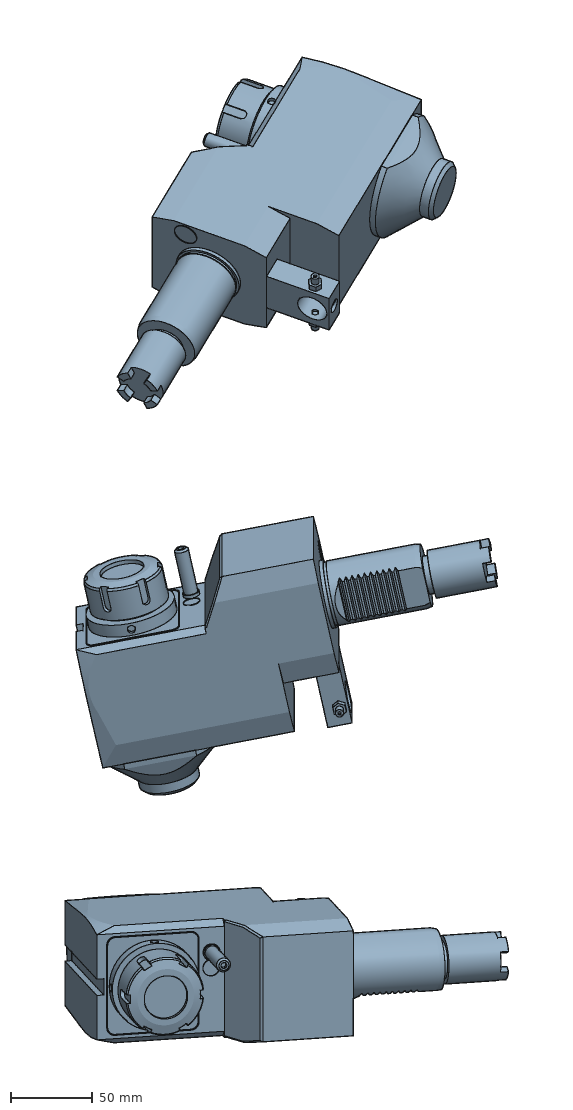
import cadquery as cq
import math

EPS = 0.3
WIDE = 521.7

total_length = 260.8
half_height = 37.5
lower_half_width = 38.9
upper_left = -9.0
upper_right = 72.0
rear = 155.7
step_y = 35.0
slope_start_y = 58.7
slope_end_y = 74.5
slope_edge_chamfer = 1.0
bevel_width = 14.9
bevel_drop = 4.0
tool_bevel_width = 4.2
edge_z = half_height - bevel_drop
crown_z = 36.8
crown_x = 14.3
crown_end_x = 34.0
crown_end_z = 36.3
crown_taper = 14.0
rear_slot_width = 10.5
rear_slot_depth = 4.5
dimple_depth = 0.5

spindle_y = 120.0

panel_length = 58.7
panel_height = 63.0
panel_corner = 5.2
panel_groove = 0.5
flange_radius = 28.0
flange_front = -17.2
neck_radius = 21.7
nut_radius = 24.8
nut_back = -19.0
nut_rim = -40.5
nut_rim_chamfer_length = 1.5
nut_front = -42.0
nut_rim_chamfer = 0.8
nut_face_radius = 18.0
nut_bore_radius = 13.8
nut_bore_depth = 2.5
wrench_slot_count = 6
wrench_slot_width = 5.5
wrench_slot_depth = 2.5
wrench_slot_end = -24.8
flange_hole_count = 4
flange_hole_radius = 2.48
flange_hole_depth = 2.5

pin_y = 83.0
pin_z = 17.7
pin_radius = 4.5
pin_tip = -41.2
pin_chamfer = 1.3
pin_bore_radius = 1.8
pin_bore_depth = 2.5
pin_collar_radius = 5.2
pin_collar_length = 2.0
plug_z = 7.5
plug_radius = 5.2

nose_rim = 4.0
nose_base_radius = 40.0
nose_tip_radius = 19.0
nose_cone_end = 96.3
nose_end = 104.5
nose_chamfer = 2.3
nose_flat_z = 32.9
nose_flat_angle = 14.0
nose_rear_cut = 31.5

collar_radius = 21.5
collar_length = 2.3
relief_radius = 19.8
relief_end = 4.2
shank_radius = 20.3
shank_length = 63.0
shank_chamfer_length = 3.5
shank_chamfer_radius = 19.5
waist_radius = 12.0
waist_length = 3.7
coupling_radius = 15.0
coupling_face = 100.0
coupling_end = total_length - rear
claw_inner_radius = 10.2
claw_count = 4
claw_span = 39.0
rack_z = -15.7
rack_ramp_start = 6.0
rack_groove_count = 10
rack_groove_first = 11.5
rack_pitch = 4.0
rack_groove_depth = 1.8
rack_groove_half_width = 1.3

dimple_x = -16.2
dimple_z = 28.0
dimple_radius = 7.5

arm_end = 81.5
arm_front = 0.5
arm_back = 16.0
arm_half_height = 15.0
arm_bore_x = 70.0
arm_bore_radius = 10.0
arm_end_hole_radius = 4.5
screw_x = 69.5
screw_y = 6.0
screw_radius = 2.48
screw_top = 24.8
screw_key_radius = 1.0
screw_socket_radius = 2.0
screw_socket_depth = 1.5
lock_nut_across_corners = 8.9
lock_nut_height = 4.2


def x_cylinder(radius, x_start, x_end, y, z=0.0):
    """Cylinder along X between two X places."""
    plane = cq.Workplane("YZ", origin=(x_start, y, z))
    return plane.circle(radius).extrude(x_end - x_start)


def turned_on_spindle(profile):
    """Revolve (x, radius) points about the spindle axis."""
    points = [(x, spindle_y + radius) for x, radius in profile]
    outline = cq.Workplane("XY").polyline(points).close()
    return outline.revolve(360, (0, spindle_y, 0), (1, spindle_y, 0))


def along_y(points, y_start, y_end):
    """Prism along Y from an outline of (x, z) points."""
    outline = cq.Workplane("XZ", origin=(0, y_start, 0)).polyline(points).close()
    return outline.extrude(y_start - y_end)


def edge_bevel(x_edge, width_inward, y_start, y_end):
    """Wedges that bevel the upper and lower edges of a side face at x_edge."""
    wedge = along_y(
        [
            (x_edge + width_inward, half_height),
            (x_edge, edge_z),
            (x_edge - width_inward, edge_z),
            (x_edge - width_inward, half_height),
        ],
        y_start,
        y_end,
    )
    return wedge.union(wedge.mirror("XY"))


def rear_crown():
    """Tapered envelope whose curved outline rounds off the rear end."""
    outline = (
        cq.Workplane("XZ", origin=(0, rear, 0))
        .moveTo(upper_left, edge_z)
        .threePointArc((crown_x, crown_z), (crown_end_x, crown_end_z))
        .lineTo(upper_right, edge_z)
        .lineTo(upper_right, -edge_z)
        .lineTo(crown_end_x, -crown_end_z)
        .threePointArc((crown_x, -crown_z), (upper_left, -edge_z))
        .close()
    )
    return outline.extrude(rear - slope_end_y, taper=-crown_taper)


def chamfer_slope(body):
    """Chamfer the edges of the slope, except where it meets the tool face."""
    slope_normal = cq.Vector(slope_start_y - slope_end_y, upper_left + lower_half_width, 0)
    slope_face = body.faces(cq.selectors.ParallelDirSelector(slope_normal))
    outer_edges = cq.selectors.BoxSelector(
        (-lower_half_width - EPS, 0, -half_height - EPS),
        (upper_left - EPS, rear, half_height + EPS),
    )
    return slope_face.edges(outer_edges).chamfer(slope_edge_chamfer)


def housing():
    """Stepped block with bevelled edges, a crowned rear end and a rear slot."""
    body = (
        cq.Workplane("XY", origin=(0, 0, -half_height))
        .moveTo(-lower_half_width, 0)
        .lineTo(lower_half_width, 0)
        .lineTo(lower_half_width, step_y)
        .lineTo(upper_right, step_y)
        .lineTo(upper_right, rear)
        .lineTo(upper_left, rear)
        .lineTo(upper_left, slope_end_y)
        .lineTo(-lower_half_width, slope_start_y)
        .close()
        .extrude(2 * half_height)
    )
    body = body.cut(edge_bevel(-lower_half_width, bevel_width, 0, slope_end_y))
    body = chamfer_slope(body)
    body = body.cut(edge_bevel(lower_half_width, -bevel_width, 0, step_y))
    body = body.cut(edge_bevel(upper_right, -bevel_width, step_y, rear))
    body = body.cut(edge_bevel(upper_left, tool_bevel_width, slope_end_y, rear))

    trim_length = rear - slope_end_y
    trim_zone = cq.Workplane("XY").box(WIDE, trim_length, WIDE)
    trim_zone = trim_zone.translate((0, slope_end_y + trim_length / 2, 0))
    body = body.cut(trim_zone.cut(rear_crown()))

    slot = cq.Workplane("XY").box(WIDE, 2 * rear_slot_depth, rear_slot_width)
    body = body.cut(slot.translate((0, rear, 0)))

    front_dimple = cq.Workplane("XZ").center(dimple_x, dimple_z).circle(dimple_radius)
    return body.cut(front_dimple.extrude(-dimple_depth))


def tool_face_cuts():
    """Groove around the square panel and the plug recess."""
    face = cq.Workplane("YZ", origin=(upper_left, spindle_y, 0))
    outer = face.rect(panel_length, panel_height).extrude(panel_groove)
    outer = outer.edges("|X").fillet(panel_corner)
    inner = face.rect(panel_length - 2 * panel_groove, panel_height - 2 * panel_groove)
    inner = inner.extrude(panel_groove).edges("|X").fillet(panel_corner - panel_groove)
    plug = x_cylinder(plug_radius, upper_left, upper_left + dimple_depth, pin_y, plug_z)
    return outer.cut(inner).union(plug)


def collet_nut():
    """Flange with radial holes, neck and slotted clamping nut."""
    body = turned_on_spindle(
        [
            (upper_left + EPS, 0),
            (upper_left + EPS, flange_radius),
            (flange_front, flange_radius),
            (flange_front, neck_radius),
            (nut_back, neck_radius),
            (nut_back, nut_radius),
            (nut_rim + nut_rim_chamfer_length, nut_radius),
            (nut_rim, nut_radius - nut_rim_chamfer),
            (nut_front, nut_face_radius),
            (nut_front, nut_bore_radius),
            (nut_front + nut_bore_depth, nut_bore_radius),
            (nut_front + nut_bore_depth, 0),
        ]
    )
    flange_middle = (upper_left + flange_front) / 2
    hole_floor = flange_radius - flange_hole_depth
    hole_plane = cq.Workplane("XY", origin=(flange_middle, spindle_y, hole_floor))
    hole = hole_plane.circle(flange_hole_radius).extrude(2 * flange_hole_depth)
    for index in range(flange_hole_count):
        angle = 360 / flange_hole_count * index
        body = body.cut(hole.rotate((0, spindle_y, 0), (1, spindle_y, 0), angle))

    slot_floor = nut_radius - wrench_slot_depth
    slot_centre_x = wrench_slot_end - wrench_slot_width / 2
    slot_length = slot_centre_x - nut_front
    floor_plane = cq.Workplane("XY", origin=(slot_centre_x, spindle_y, slot_floor))
    slot = floor_plane.circle(wrench_slot_width / 2).extrude(2 * wrench_slot_depth)
    channel = floor_plane.center(-slot_length / 2, 0).rect(slot_length, wrench_slot_width)
    slot = slot.union(channel.extrude(2 * wrench_slot_depth))
    for index in range(wrench_slot_count):
        angle = 360 / wrench_slot_count * (index + 0.5)
        body = body.cut(slot.rotate((0, spindle_y, 0), (1, spindle_y, 0), angle))
    return body


def coolant_pin():
    """Hollow-tipped pin standing on a small collar."""
    pin = x_cylinder(pin_radius, pin_tip, upper_left + EPS, pin_y, pin_z)
    pin = pin.faces("<X").chamfer(pin_chamfer)
    pin = pin.cut(x_cylinder(pin_bore_radius, pin_tip, pin_tip + pin_bore_depth, pin_y, pin_z))
    collar_start = upper_left - pin_collar_length
    return pin.union(x_cylinder(pin_collar_radius, collar_start, upper_left + EPS, pin_y, pin_z))


def nose():
    """Conical nose with flats above, below and towards the rear."""
    cone_start = upper_right + nose_rim
    body = turned_on_spindle(
        [
            (upper_right - EPS, 0),
            (upper_right - EPS, nose_base_radius),
            (cone_start, nose_base_radius),
            (nose_cone_end, nose_tip_radius),
            (nose_end - nose_chamfer, nose_tip_radius),
            (nose_end, nose_tip_radius - nose_chamfer),
            (nose_end, 0),
        ]
    )
    tilt_drop = (nose_end - cone_start) * math.tan(math.radians(nose_flat_angle))
    tip_flat_z = nose_flat_z - tilt_drop
    envelope = along_y(
        [
            (upper_right - EPS, nose_flat_z),
            (cone_start, nose_flat_z),
            (nose_end, tip_flat_z),
            (nose_end, -tip_flat_z),
            (cone_start, -nose_flat_z),
            (upper_right - EPS, -nose_flat_z),
        ],
        spindle_y - nose_base_radius,
        spindle_y + nose_rear_cut,
    )
    return body.intersect(envelope)


def shank():
    """Turned shank with rack, waist and claw coupling."""
    coupling_start = shank_length + waist_length
    body = (
        cq.Workplane("XY")
        .moveTo(0, EPS)
        .lineTo(collar_radius, EPS)
        .lineTo(collar_radius, -collar_length)
        .lineTo(relief_radius, -collar_length)
        .lineTo(relief_radius, -relief_end)
        .lineTo(shank_radius, -relief_end)
        .lineTo(shank_radius, shank_chamfer_length - shank_length)
        .lineTo(shank_chamfer_radius, -shank_length)
        .lineTo(waist_radius, -shank_length)
        .lineTo(waist_radius, -coupling_start)
        .lineTo(coupling_radius, -coupling_start)
        .lineTo(coupling_radius, -coupling_face)
        .lineTo(0, -coupling_face)
        .close()
        .revolve(360, (0, 0, 0), (0, 1, 0))
    )
    return body.cut(rack_cut()).union(claws())


def rack_cut():
    """Flat with a 45 degree run-in and V grooves under the shank."""
    ramp_depth = shank_radius + rack_z
    flat = (
        cq.Workplane("YZ")
        .moveTo(-rack_ramp_start, -shank_radius)
        .lineTo(-rack_ramp_start - ramp_depth, rack_z)
        .lineTo(-shank_length, rack_z)
        .lineTo(-shank_length, -shank_radius)
        .close()
        .extrude(shank_radius, both=True)
    )
    for index in range(rack_groove_count):
        centre_y = -rack_groove_first - index * rack_pitch
        groove = (
            cq.Workplane("YZ")
            .moveTo(centre_y - rack_groove_half_width, rack_z)
            .lineTo(centre_y, rack_z + rack_groove_depth)
            .lineTo(centre_y + rack_groove_half_width, rack_z)
            .close()
            .extrude(shank_radius, both=True)
        )
        flat = flat.union(groove)
    return flat


def claws():
    """Ring sectors on the front of the coupling."""
    ring = (
        cq.Workplane("XZ", origin=(0, EPS - coupling_face, 0))
        .circle(coupling_radius)
        .circle(claw_inner_radius)
        .extrude(coupling_end - coupling_face + EPS)
    )
    half_span = math.radians(claw_span / 2)
    reach = 2 * coupling_radius
    sector = along_y(
        [
            (0, 0),
            (reach * math.cos(half_span), reach * math.sin(half_span)),
            (reach * math.cos(half_span), -reach * math.sin(half_span)),
        ],
        0,
        -coupling_end,
    )
    sectors = cq.Workplane("XY")
    for index in range(claw_count):
        angle = 360 / claw_count * (index + 0.5)
        sectors = sectors.add(sector.rotate((0, 0, 0), (0, 1, 0), angle))
    return ring.intersect(sectors.combine())


def clamp_screw():
    """Upper set screw with its hexagon lock nut."""
    base = cq.Workplane("XY", origin=(screw_x, screw_y, arm_half_height - EPS))
    nut = base.polygon(6, lock_nut_across_corners).extrude(lock_nut_height + EPS)
    screw = nut.union(base.circle(screw_radius).extrude(screw_top - arm_half_height + EPS))
    top = screw.faces(">Z").workplane(origin=(screw_x, screw_y, 0))
    return top.hole(2 * screw_key_radius, screw_socket_depth)


def screw_socket():
    """Socket in the screw tip, sunk into the top of the arm bore."""
    depth = arm_bore_radius + screw_socket_depth
    return cq.Workplane("XY").center(screw_x, screw_y).circle(screw_socket_radius).extrude(depth)


def side_arm():
    """Bored arm with a hole in its end and two opposed clamp screws."""
    arm = along_y(
        [
            (lower_half_width - EPS, -arm_half_height),
            (arm_end, -arm_half_height),
            (arm_end, arm_half_height),
            (lower_half_width - EPS, arm_half_height),
        ],
        arm_front,
        arm_back,
    )
    bore = cq.Workplane("XZ").center(arm_bore_x, 0).circle(arm_bore_radius).extrude(-arm_back)
    arm = arm.cut(bore)
    arm_middle = (arm_front + arm_back) / 2
    arm = arm.cut(x_cylinder(arm_end_hole_radius, arm_bore_x, arm_end, arm_middle))
    arm = arm.union(clamp_screw()).union(clamp_screw().mirror("XY"))
    return arm.cut(screw_socket()).cut(screw_socket().mirror("XY"))


result = (
    housing()
    .cut(tool_face_cuts())
    .union(collet_nut())
    .union(coolant_pin())
    .union(nose())
    .union(shank())
    .union(side_arm())
)